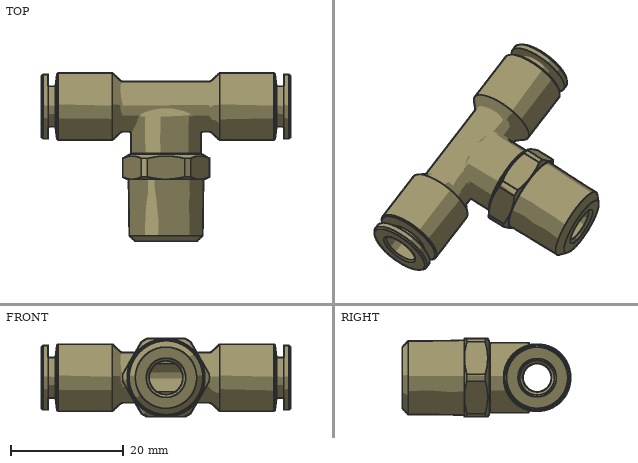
import cadquery as cq
import math

run_length = 44.4
tube_radius = 9.0 / 2
socket_radius = 12.0 / 2
socket_shoulder_x = 9.55
socket_cone_length = 1.6
socket_end_x = 19.45
socket_rim_x = 19.7
socket_chamfer = 0.2
shoulder_fillet = 0.45

collar_radius = 11.5 / 2
collar_thickness = 1.2
collar_chamfer = 0.3
collar_neck_radius = 7.3 / 2
collar_neck_fillet = 0.18

stem_radius = 12.5 / 2
stem_start = 1.5
stem_cone_angle = 30.0
stem_rim_fillet = 0.45
stem_end = 8.3
relief_radius = 6.13
junction_fillet = 0.3
hex_start = 8.5
hex_end = 12.95
hex_across_flats = 14.0
hex_corner_radius = 15.5 / 2
hex_rear_radius = 6.45
hex_rear_chamfer = 0.75
hex_front_radius = 6.93
hex_front_chamfer = 0.45
branch_length = 24.0
thread_start_radius = 6.7
thread_end_radius = 6.55
thread_tip_radius = 5.45
thread_chamfer = 1.05

run_bore_radius = 5.0 / 2
tube_seat_radius = 6.15 / 2
tube_seat_depth = 12.45
branch_bore_radius = 6.0 / 2
branch_mouth_radius = 7.0 / 2
collar_mouth_radius = 6.85 / 2
bore_chamfer = branch_mouth_radius - branch_bore_radius
seat_cone_length = tube_seat_radius - run_bore_radius
seat_chamfer = collar_mouth_radius - tube_seat_radius

selection_margin = 0.05


def revolve_x(profile):
    """Revolve (x, radius) points about the X axis."""
    return cq.Workplane("XY").polyline(profile).close().revolve(360, (0, 0), (1, 0))


def revolve_branch(profile):
    """Revolve (radius, distance along -Y) points about the Y axis."""
    points = [(radius, -distance) for radius, distance in profile]
    return cq.Workplane("XY").polyline(points).close().revolve(360, (0, 0), (0, 1))


def ring_selector(x, radius):
    """Select the circular edges about the X axis at x, up to the given radius."""
    reach = radius + selection_margin
    return cq.selectors.BoxSelector(
        (x - selection_margin, -reach, -reach),
        (x + selection_margin, reach, reach),
        boundingbox=True,
    )


def make_run_half():
    """Half of the run on the +X side, from the centre out to the collar."""
    end = run_length / 2
    collar_start = end - collar_thickness
    shoulder_root_x = socket_shoulder_x - socket_cone_length
    half = revolve_x([
        (0, 0),
        (0, tube_radius),
        (shoulder_root_x, tube_radius),
        (socket_shoulder_x, socket_radius),
        (socket_end_x - socket_chamfer, socket_radius),
        (socket_end_x, socket_radius - socket_chamfer),
        (socket_rim_x, collar_neck_radius),
        (collar_start, collar_neck_radius),
        (collar_start, collar_radius),
        (end - collar_chamfer, collar_radius),
        (end, collar_radius - collar_chamfer),
        (end, 0),
    ])
    shoulder_root = ring_selector(shoulder_root_x, tube_radius)
    neck_root = ring_selector(collar_start, collar_neck_radius)
    half = half.edges(shoulder_root).fillet(shoulder_fillet)
    return half.edges(neck_root).fillet(collar_neck_fillet)


def make_stem():
    """Round stem whose inner end closes towards the tube with a shallow, round-edged cone."""
    cone_height = stem_radius * math.tan(math.radians(stem_cone_angle))
    stem = revolve_branch([
        (0, stem_start - cone_height),
        (stem_radius, stem_start),
        (stem_radius, stem_end),
        (0, stem_end),
    ])
    return stem.edges("%CIRCLE").edges(">Y").fillet(stem_rim_fillet).rotate((0, 0, 0), (0, 1, 0), -90)


def make_hexagon():
    """Hexagon with rounded corners and conical chamfers, flats facing +Z and -Z."""
    hex_across_corners = hex_across_flats / math.cos(math.pi / 6)
    hex_prism = (
        cq.Workplane("XZ", origin=(0, -hex_start, 0))
        .polygon(6, hex_across_corners)
        .extrude(hex_end - hex_start)
    )
    envelope = revolve_branch([
        (0, hex_start),
        (hex_rear_radius, hex_start),
        (hex_corner_radius, hex_start + hex_rear_chamfer),
        (hex_corner_radius, hex_end - hex_front_chamfer),
        (hex_front_radius, hex_end),
        (0, hex_end),
    ])
    return hex_prism.intersect(envelope)


def make_thread():
    """Tapered thread body with a chamfered tip."""
    return revolve_branch([
        (0, hex_end),
        (thread_start_radius, hex_end),
        (thread_end_radius, branch_length - thread_chamfer),
        (thread_tip_radius, branch_length),
        (0, branch_length),
    ])


def make_relief():
    """Narrow relief groove between the stem and the hexagon."""
    return revolve_branch([
        (0, stem_end),
        (relief_radius, stem_end),
        (relief_radius, hex_start),
        (0, hex_start),
    ])


def make_run_bore_half():
    """Through bore, tube seat with a conical floor, and mouth chamfer on the +X side."""
    end = run_length / 2
    seat_floor = end - tube_seat_depth
    return revolve_x([
        (0, 0),
        (0, run_bore_radius),
        (seat_floor, run_bore_radius),
        (seat_floor + seat_cone_length, tube_seat_radius),
        (end - seat_chamfer, tube_seat_radius),
        (end, collar_mouth_radius),
        (end, 0),
    ])


def make_branch_bore():
    """Branch bore from the run axis to the chamfered thread tip."""
    return revolve_branch([
        (0, 0),
        (branch_bore_radius, 0),
        (branch_bore_radius, branch_length - bore_chamfer),
        (branch_mouth_radius, branch_length),
        (0, branch_length),
    ])


def both_ends(half):
    """Join a +X half with its mirror image."""
    return half.union(half.mirror("YZ"))


junction_reach_x = stem_radius + selection_margin
junction_reach = tube_radius + selection_margin
junction_zone = cq.selectors.BoxSelector(
    (-junction_reach_x, -junction_reach, -junction_reach),
    (junction_reach_x, 0, junction_reach),
    boundingbox=True,
)
tee = both_ends(make_run_half()).union(make_stem())
tee = tee.edges(junction_zone).fillet(junction_fillet)

body = tee.union(make_relief()).union(make_hexagon()).union(make_thread())
result = body.cut(both_ends(make_run_bore_half())).cut(make_branch_bore())